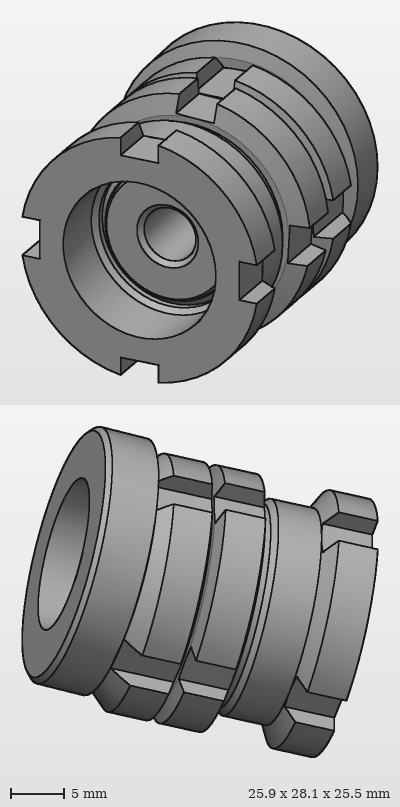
import cadquery as cq
import math

outer_radius = 12.5
slot_width = 3.98
slot_floor_radius = 10.5
slot_count = 4
thread_radius = 7.5
edge_angle = 15
edge_height = (outer_radius - slot_floor_radius) * math.tan(math.radians(edge_angle))

neck_radius = 10.5
flange_length = 3.85
flange_cone_angle = 30
flange_cone_length = (outer_radius - neck_radius) * math.tan(math.radians(flange_cone_angle))
neck_tip_radius = 9.9
neck_chamfer = neck_radius - neck_tip_radius
neck_step_y = 9.82
base_length = 10.47
counterbore_radius = 8.03
counterbore_depth = 6.0

nut_start = 10.55
nut_length = 5.0
nut_end = nut_start + nut_length
nut_turn = 3.3

head_start = 15.77
head_rim_end = 20.1
dome_radius = 16.0
dome_center_y = head_rim_end - math.sqrt(dome_radius**2 - outer_radius**2)
dome_end_radius = 8.42
dome_end_y = dome_center_y + math.sqrt(dome_radius**2 - dome_end_radius**2)
relief_radius = 6.82
nose_radius = 6.7
nose_chamfer = 0.28
nose_length = 0.55
stem_start = counterbore_depth
bore_radius = 2.72
bore_chamfer = 0.5

washer_rim_length = 4.63
washer_rear_chamfer = 0.5
washer_bore_radius = 7.38
washer_face_radius = 10.95
washer_face_center = (-0.8, 22.0, 0.62)
washer_tilt_x = -0.6
washer_tilt_z = 2.5


def turned(points):
    """Revolve a closed outline of (radius, y) points about the Y axis."""
    return cq.Workplane("XY").polyline(points).close().revolve(360, (0, 0), (0, 1))


def slots(start, end):
    """Blocks that cut the wrench slots between two Y positions."""
    depth = 2 * (outer_radius - slot_floor_radius)
    block = (
        cq.Workplane("XY")
        .box(depth, end - start, slot_width)
        .translate((slot_floor_radius + depth / 2, (start + end) / 2, 0))
    )
    blocks = cq.Workplane("XY")
    for i in range(slot_count):
        blocks = blocks.add(block.rotate((0, 0, 0), (0, 1, 0), i * 360 / slot_count))
    return blocks.combine()


def make_base():
    cone_end = flange_length + flange_cone_length
    bore_cone_end = counterbore_depth + counterbore_radius - thread_radius
    body = turned([
        (counterbore_radius, 0),
        (outer_radius, 0),
        (outer_radius, flange_length),
        (neck_radius, cone_end),
        (neck_radius, neck_step_y - neck_chamfer),
        (neck_tip_radius, neck_step_y),
        (neck_tip_radius, base_length),
        (thread_radius, base_length),
        (thread_radius, bore_cone_end),
        (counterbore_radius, counterbore_depth),
    ])
    return body.cut(slots(0, cone_end))


def make_nut():
    body = turned([
        (thread_radius, nut_start),
        (slot_floor_radius, nut_start),
        (outer_radius, nut_start + edge_height),
        (outer_radius, nut_end - edge_height),
        (slot_floor_radius, nut_end),
        (thread_radius, nut_end),
    ])
    return body.cut(slots(nut_start, nut_end)).rotate((0, 0, 0), (0, 1, 0), nut_turn)


def make_support():
    nose_end = stem_start + nose_length
    mid_radius = (outer_radius + dome_end_radius) / 2
    mid_y = dome_center_y + math.sqrt(dome_radius**2 - mid_radius**2)
    outline = (
        cq.Workplane("XY")
        .moveTo(bore_radius, stem_start + bore_chamfer)
        .lineTo(bore_radius + bore_chamfer, stem_start)
        .lineTo(nose_radius - nose_chamfer, stem_start)
        .lineTo(nose_radius, stem_start + nose_chamfer)
        .lineTo(nose_radius, nose_end)
        .lineTo(relief_radius, nose_end)
        .lineTo(thread_radius, nose_end + thread_radius - relief_radius)
        .lineTo(thread_radius, nut_end)
        .lineTo(relief_radius, nut_end)
        .lineTo(relief_radius, head_start)
        .lineTo(slot_floor_radius, head_start)
        .lineTo(outer_radius, head_start + edge_height)
        .lineTo(outer_radius, head_rim_end)
        .threePointArc((mid_radius, mid_y), (dome_end_radius, dome_end_y))
        .lineTo(bore_radius, dome_end_y)
        .close()
    )
    body = outline.revolve(360, (0, 0), (0, 1))
    return body.cut(slots(head_start, dome_end_y))


def make_dome():
    """The full ball whose cap forms the end of the support."""
    return cq.Workplane("XZ").sphere(dome_radius).translate((0, dome_center_y, 0))


def make_washer():
    rim_start = (outer_radius - washer_face_radius) * math.tan(math.radians(edge_angle))
    rim_end = rim_start + washer_rim_length
    rear = rim_end + washer_rear_chamfer
    body = turned([
        (washer_bore_radius, 0),
        (washer_face_radius, 0),
        (outer_radius, rim_start),
        (outer_radius, rim_end),
        (outer_radius - washer_rear_chamfer, rear),
        (washer_bore_radius, rear),
    ])
    placed = (
        body.rotate((0, 0, 0), (1, 0, 0), washer_tilt_x)
        .rotate((0, 0, 0), (0, 0, 1), washer_tilt_z)
        .translate(washer_face_center)
    )
    return placed.cut(make_dome())


base = make_base()
nut = make_nut()
support = make_support()
washer = make_washer()

result = cq.Compound.makeCompound([base.val(), nut.val(), support.val(), washer.val()])